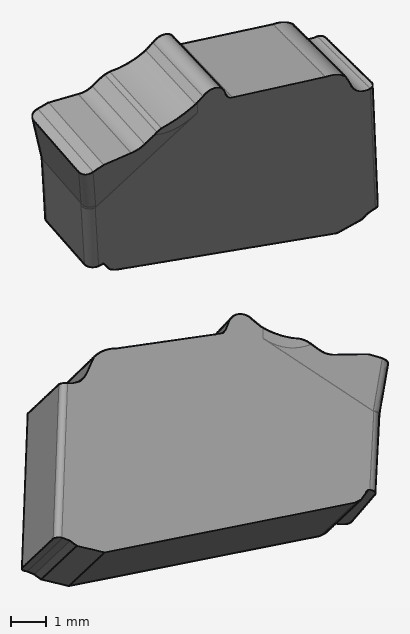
import cadquery as cq
import math

BODY_HALF = 1.3
BLANK_HALF = 1.86
HEAD_HALF = 1.5
BODY_LENGTH = 10.15
FRONT_LEAD = 0.22
BLANK_TOP = 8.28

REAR_LEAN = 0.037
REAR_FOOT_HEIGHT = 0.24
EDGE_LAND_DROP = 0.07
KINK_DEPTH = 9.96
KINK_HEIGHT = 5.72
EDGE_HEIGHT = 7.2
FRONT_FOOT_DEPTH = 9.83
FRONT_FOOT_HEIGHT = 3.26
FRONT_RADIUS = 0.28
REAR_RADIUS = 0.19

FLARE_START = (6.32, 7.37)
FLARE_END = (9.64, 5.72)
FLARE_SLOPE = 0.13
FLARE_BLEND_RADIUS = 12.21
FLARE_REACH = 4.66

MARGIN = 0.52
RIDGE_HEIGHT = 8.0
HEEL_DEPTH = 1.5
HEEL_SHELF = 5.0


def stretch_at(x):
    """Depth factor at x: the upper cross lines and the front face fan out slightly toward +X."""
    return 1 + FRONT_LEAD / BODY_LENGTH * (x + HEAD_HALF) / (2 * HEAD_HALF)


def fanned_solid(outline):
    """Ruled solid across X between two side outlines of different depth scale."""
    sections = [
        outline(stretch_at(x)).val().moved(cq.Location(cq.Vector(x, 0, 0)))
        for x in (-BLANK_HALF, BLANK_HALF)
    ]
    return cq.Workplane(obj=cq.Solid.makeLoft(sections, True))


def blank_outline(stretch):
    """Rear and front faces, extended above and below the part."""
    head_lean = (BODY_LENGTH - KINK_DEPTH) / (EDGE_HEIGHT - KINK_HEIGHT)
    foot_lean = (KINK_DEPTH - FRONT_FOOT_DEPTH) / (KINK_HEIGHT - FRONT_FOOT_HEIGHT)
    top_depth = KINK_DEPTH + head_lean * (BLANK_TOP - KINK_HEIGHT)
    bottom_depth = KINK_DEPTH - foot_lean * (KINK_HEIGHT + MARGIN)
    points = [
        (REAR_LEAN * (-MARGIN - REAR_FOOT_HEIGHT), -MARGIN),
        (REAR_LEAN * (BLANK_TOP - REAR_FOOT_HEIGHT), BLANK_TOP),
        (top_depth * stretch, BLANK_TOP),
        (KINK_DEPTH * stretch, KINK_HEIGHT),
        (bottom_depth * stretch, -MARGIN),
    ]
    return cq.Workplane("YZ").polyline([(-d, z) for d, z in points]).close()


def profile_outline(stretch):
    """Top and bottom contour, overrunning the front and rear faces."""

    def at(depth, height):
        return (-depth * stretch, height)

    return (
        cq.Workplane("YZ")
        .moveTo(*at(-MARGIN, HEEL_SHELF))
        .lineTo(*at(0.34, HEEL_SHELF))
        .threePointArc(at(0.68, 5.09), at(0.93, 5.35))
        .lineTo(*at(1.18, 5.94))
        .threePointArc(at(1.42, 6.15), at(1.86, 6.31))
        .lineTo(*at(5.01, 7.29))
        .threePointArc(at(5.13, 7.36), at(5.2, 7.45))
        .lineTo(*at(5.3, 7.72))
        .threePointArc(at(5.69, RIDGE_HEIGHT), at(6.0, 7.89))
        .lineTo(*at(6.25, 7.72))
        .threePointArc(at(6.87, 7.53), at(7.45, 7.51))
        .lineTo(*at(7.62, 7.47))
        .lineTo(*at(8.03, 7.25))
        .threePointArc(at(8.26, 7.17), at(8.51, 7.18))
        .lineTo(*at(9.48, 7.33))
        .lineTo(*at(9.84, EDGE_HEIGHT + EDGE_LAND_DROP))
        .lineTo(*at(BODY_LENGTH, EDGE_HEIGHT))
        .lineTo(*at(BODY_LENGTH + MARGIN, EDGE_HEIGHT))
        .lineTo(*at(BODY_LENGTH + MARGIN, FRONT_FOOT_HEIGHT))
        .lineTo(-9.55, FRONT_FOOT_HEIGHT)
        .lineTo(-9.34, 2.92)
        .lineTo(-9.15, 2.79)
        .lineTo(-HEEL_DEPTH, 0)
        .lineTo(-0.65, 0.06)
        .lineTo(-0.43, 0.19)
        .lineTo(-0.22, REAR_FOOT_HEIGHT)
        .lineTo(MARGIN, REAR_FOOT_HEIGHT)
        .close()
    )


def straight_body():
    length = BODY_LENGTH + FRONT_LEAD + 2 * MARGIN
    return (
        cq.Workplane("XY", origin=(0, MARGIN - length / 2, -MARGIN))
        .rect(2 * BODY_HALF, length)
        .extrude(BLANK_TOP + 2 * MARGIN)
    )


def flared_head():
    """Flat flare on both sides, entered through a large concave upright radius."""
    run = FLARE_END[0] - FLARE_START[0]
    drop = FLARE_START[1] - FLARE_END[1]
    wide = BODY_HALF + FLARE_SLOPE * FLARE_REACH
    along_flare = cq.Plane(
        origin=(0, -FLARE_START[0], FLARE_START[1]), xDir=(1, 0, 0), normal=(0, -run, -drop)
    )
    wedge = (
        cq.Workplane(along_flare)
        .polyline([
            (-BODY_HALF, 0), (BODY_HALF, 0), (wide, FLARE_REACH), (-wide, FLARE_REACH),
        ])
        .close()
        .extrude(2 * FLARE_REACH, both=True)
    )

    def blend_width(distance):
        return BODY_HALF + FLARE_BLEND_RADIUS - math.sqrt(FLARE_BLEND_RADIUS**2 - distance**2)

    start = FLARE_START[0]
    middle = FLARE_REACH / 2
    plan = (
        cq.Workplane("XY")
        .moveTo(-BODY_HALF, -start)
        .lineTo(BODY_HALF, -start)
        .threePointArc(
            (blend_width(middle), -start - middle), (blend_width(FLARE_REACH), -start - FLARE_REACH)
        )
        .lineTo(-blend_width(FLARE_REACH), -start - FLARE_REACH)
        .threePointArc((-blend_width(middle), -start - middle), (-BODY_HALF, -start))
        .close()
        .extrude(BLANK_TOP + MARGIN)
    )
    return wedge.intersect(plan)


def upright_edges(solid, near_depth):
    """Corner edges of the blank near the given depth."""
    def is_corner(edge):
        middle = edge.Center()
        return (
            abs(middle.y + near_depth) < MARGIN
            and abs(middle.x) > BODY_HALF / 2
            and abs(edge.tangentAt(0.5).z) > 0.9
        )

    return solid.newObject([edge for edge in solid.edges().vals() if is_corner(edge)])


blank = straight_body().union(flared_head()).intersect(fanned_solid(blank_outline))
blank = upright_edges(blank, 0).fillet(REAR_RADIUS)
blank = upright_edges(blank, BODY_LENGTH).fillet(FRONT_RADIUS)

result = blank.intersect(fanned_solid(profile_outline))